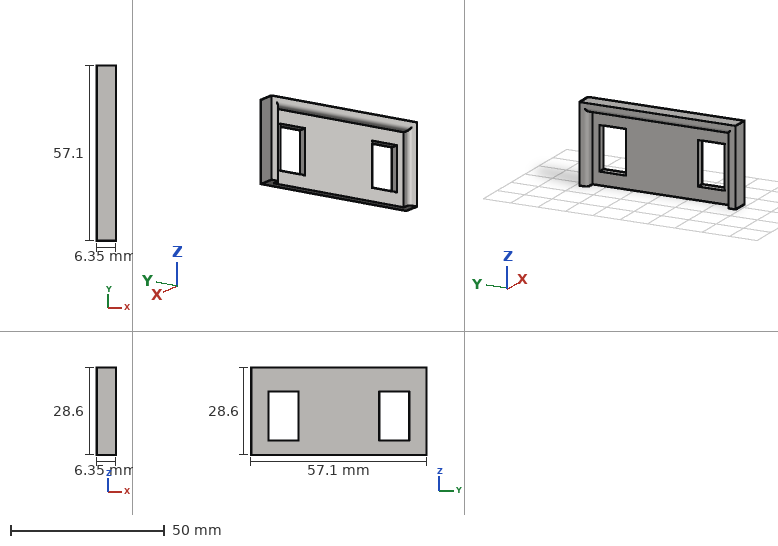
import cadquery as cq

thickness = 6.35
length = 57.15
height = 28.6

rim_width = 3.15
recess_depth = 3.2
rim_radius = 1.25

window_width = 9.65
window_height = 15.9
window_end_gap = 5.7
window_bottom_gap = 4.75

front_x = -thickness / 2
recess_length = length - 2 * rim_width
recess_height = height - rim_width


def make_framed_panel():
    """Panel with its recess and the rounded inner edge of the rim."""
    panel = cq.Workplane("XY").box(thickness, length, height, centered=(True, True, False))
    recess = cq.Workplane("XY").box(
        recess_depth, recess_length, recess_height, centered=(False, True, False)
    )
    panel = panel.cut(recess.translate((front_x, 0, 0)))

    edge_center_z = recess_height / 2
    top_edge = cq.selectors.NearestToPointSelector((front_x, 0, recess_height))
    left_edge = cq.selectors.NearestToPointSelector((front_x, recess_length / 2, edge_center_z))
    right_edge = cq.selectors.NearestToPointSelector((front_x, -recess_length / 2, edge_center_z))
    return panel.edges(top_edge + left_edge + right_edge).fillet(rim_radius)


def make_window(side):
    """Cutter for the window near the +Y (side=1) or -Y (side=-1) end."""
    center_y = side * (length / 2 - window_end_gap - window_width / 2)
    window = cq.Workplane("XY").box(
        thickness, window_width, window_height, centered=(True, True, False)
    )
    return window.translate((0, center_y, window_bottom_gap))


result = make_framed_panel()
for side in (-1, 1):
    result = result.cut(make_window(side))